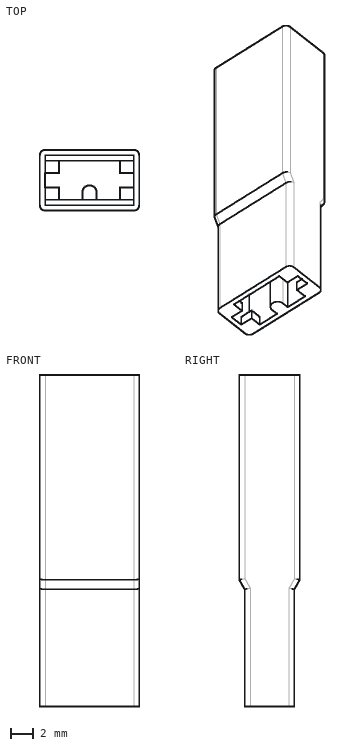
import cadquery as cq
import math

width = 9.0
height = 30.0
upper_depth = 5.5
lower_depth = 4.5
corner_radius = 0.5

transition_bottom = 10.6
slope_angle = 60.0
step = (upper_depth - lower_depth) / 2
transition_top = transition_bottom + step * math.tan(math.radians(slope_angle))

wall = 0.5
cavity_width = width - 2 * wall
upper_cavity_depth = upper_depth - 2 * wall
lower_cavity_depth = lower_depth - 2 * wall

corner_stop_height = 1.0
corner_stop_width = 1.25
corner_stop_depth = 1.1
key_width = 1.3
key_length = 1.3
key_height = transition_bottom


def make_body():
    """Stepped outer profile in YZ, extruded along X, with rounded long edges."""
    upper_y = upper_depth / 2
    lower_y = lower_depth / 2
    profile = [
        (-lower_y, 0),
        (lower_y, 0),
        (lower_y, transition_bottom),
        (upper_y, transition_top),
        (upper_y, height),
        (-upper_y, height),
        (-upper_y, transition_top),
        (-lower_y, transition_bottom),
    ]
    body = cq.Workplane("YZ").polyline(profile).close().extrude(width / 2, both=True)
    long_edges = body.faces("<X or >X").edges("not(|Y)")
    return long_edges.fillet(corner_radius)


def make_cavity():
    """Through opening in the lower section, widening at a flat shelf."""
    lower = cq.Workplane("XY").rect(cavity_width, lower_cavity_depth).extrude(height)
    upper = (
        cq.Workplane("XY")
        .workplane(offset=transition_top)
        .rect(cavity_width, upper_cavity_depth)
        .extrude(height - transition_top)
    )
    return lower.union(upper)


def make_corner_stops():
    """Four rectangular blocks in the corners of the lower opening."""
    spacing_x = cavity_width - corner_stop_width
    spacing_y = lower_cavity_depth - corner_stop_depth
    return (
        cq.Workplane("XY")
        .rect(spacing_x, spacing_y, forConstruction=True)
        .vertices()
        .rect(corner_stop_width, corner_stop_depth)
        .extrude(corner_stop_height)
    )


def make_key():
    """Round-ended block on the middle of the front cavity wall."""
    root_y = -lower_cavity_depth / 2
    tip_radius = key_width / 2
    shank_length = key_length - tip_radius
    shank = (
        cq.Workplane("XY")
        .center(0, root_y + shank_length / 2)
        .rect(key_width, shank_length)
        .extrude(key_height)
    )
    tip = cq.Workplane("XY").center(0, root_y + shank_length).circle(tip_radius).extrude(key_height)
    return shank.union(tip)


result = make_body().cut(make_cavity()).union(make_corner_stops()).union(make_key())